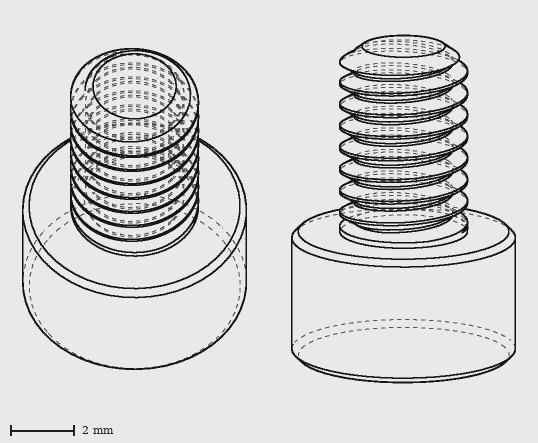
import cadquery as cq
import math

thread_diameter = 4.0
pitch = 0.7
shank_length = 6.0
head_diameter = 7.0
head_height = 4.0
head_chamfer = 0.2
flank_angle = 30
runout_angle = 20
tip_angle = 36

flank_slope = math.tan(math.radians(flank_angle))
crest_flat = pitch / 8
root_flat = pitch / 8
crest_radius = thread_diameter / 2
thread_depth = (pitch - crest_flat - root_flat) / 2 / flank_slope
root_radius = crest_radius - thread_depth

collar_top = head_height + pitch / 4
runout_slope = math.tan(math.radians(runout_angle))
runout_top = collar_top + thread_depth * runout_slope

tip_slope = math.tan(math.radians(tip_angle))
shank_top = head_height + shank_length
tip_radius = crest_radius - pitch
tip_start = shank_top - (crest_radius - tip_radius) * tip_slope

rod_bottom = head_height / 2
cutter_overlap = 0.04
cutter_radius = crest_radius + cutter_overlap
groove_start = collar_top - pitch / 2
groove_length = math.ceil(shank_length / pitch + 1) * pitch


def revolve_outline(outline):
    """Turn a closed (radius, height) outline about the Z axis."""
    return cq.Workplane("XZ").polyline(outline).close().revolve(360, (0, 0), (0, 1))


def make_head_and_collar():
    head_radius = head_diameter / 2
    return revolve_outline(
        [
            (0, 0),
            (head_radius - head_chamfer, 0),
            (head_radius, head_chamfer),
            (head_radius, head_height - head_chamfer),
            (head_radius - head_chamfer, head_height),
            (crest_radius, head_height),
            (crest_radius, collar_top),
            (root_radius, runout_top),
            (0, runout_top),
        ]
    )


def make_rod():
    return revolve_outline(
        [
            (0, rod_bottom),
            (crest_radius, rod_bottom),
            (crest_radius, tip_start),
            (tip_radius, shank_top),
            (0, shank_top),
        ]
    )


def make_groove():
    """Right-handed helical V groove, bounded by ruled helical faces and two flat ends."""
    root_half = root_flat / 2
    outer_half = root_half + (cutter_radius - root_radius) * flank_slope
    corners = [
        (root_radius, groove_start - root_half),
        (cutter_radius, groove_start - outer_half),
        (cutter_radius, groove_start + outer_half),
        (root_radius, groove_start + root_half),
    ]
    helices = [
        cq.Wire.makeHelix(pitch, groove_length, radius).translate(cq.Vector(0, 0, height))
        for radius, height in corners
    ]
    faces = []
    for lower, upper in zip(helices, helices[1:] + helices[:1]):
        faces += cq.Face.makeRuledSurface(lower, upper).Faces()
    for rise in (0, groove_length):
        end_points = [cq.Vector(radius, 0, height + rise) for radius, height in corners]
        faces.append(cq.Face.makeFromWires(cq.Wire.makePolygon(end_points, close=True)))
    return cq.Workplane(cq.Solid.makeSolid(cq.Shell.makeShell(faces)).fix())


threaded_rod = make_rod().cut(make_groove(), clean=False)
result = threaded_rod.union(make_head_and_collar(), clean=False)